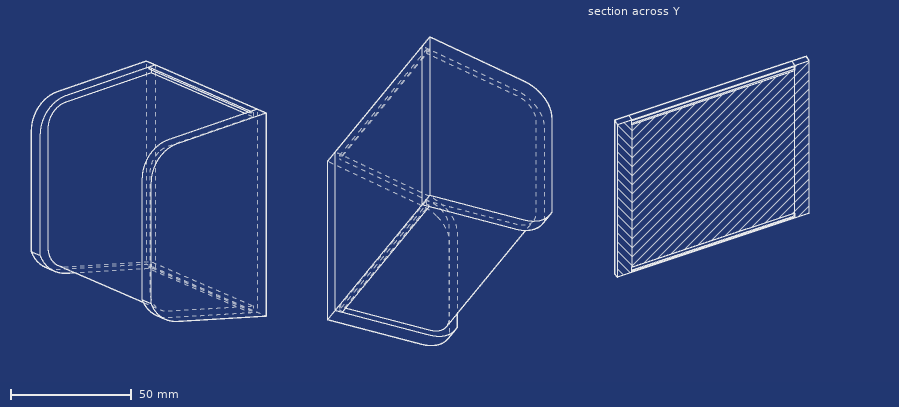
import cadquery as cq
import math

width = 88.0
depth = 57.6
half_height = 44.0
taper = math.radians(7.0)

plate_thickness = 6.6
upper_radius = 15.0
lower_arc_start = 44.5
lower_arc_end_z = -28.5

core_front_inset = 4.0
core_side_inset = 2.8
core_radius = 10.0
back_wall = 2.0
lip_length = 3.3
lip_thickness = 0.8

core_depth = depth - core_front_inset
core_length = width - 2 * plate_thickness


def slope_z(distance, inset=0.0):
    """Height of the sloped top at a given distance from the back."""
    return half_height - inset - distance * math.tan(taper)


def make_plate(left_x):
    """End plate with a tangent upper round and a lower round that meets the front at a corner."""
    upper_arc_start = depth - upper_radius * (1 - math.sin(taper))
    upper_start_z = slope_z(upper_arc_start)
    upper_end_z = upper_start_z - upper_radius * math.cos(taper)
    return (
        cq.Workplane("YZ", origin=(left_x, 0, 0))
        .moveTo(-depth, lower_arc_end_z)
        .lineTo(-depth, upper_end_z)
        .tangentArcPoint((-upper_arc_start, upper_start_z), relative=False)
        .lineTo(0, half_height)
        .lineTo(0, -half_height)
        .lineTo(-lower_arc_start, -slope_z(lower_arc_start))
        .tangentArcPoint((-depth, lower_arc_end_z), relative=False)
        .close()
        .extrude(plate_thickness)
    )


def make_core():
    """Rounded center body with a back wall whose thin lips overhang its top and bottom."""
    start_x = -core_length / 2
    hood = (
        cq.Workplane("YZ", origin=(start_x, 0, 0))
        .moveTo(0, slope_z(0, core_side_inset))
        .lineTo(-core_depth, slope_z(core_depth, core_side_inset))
        .lineTo(-core_depth, -slope_z(core_depth, core_side_inset))
        .lineTo(0, -slope_z(0, core_side_inset))
        .close()
        .extrude(core_length)
        .edges("|X and <Y")
        .fillet(core_radius)
    )

    lip_end_y = -lip_length + lip_thickness * math.sin(taper)
    lip_end_z = slope_z(lip_length) - lip_thickness * math.cos(taper)
    lip_root_z = slope_z(back_wall, lip_thickness / math.cos(taper))
    wall_with_lips = (
        cq.Workplane("YZ", origin=(start_x, 0, 0))
        .moveTo(0, half_height)
        .lineTo(-lip_length, slope_z(lip_length))
        .lineTo(lip_end_y, lip_end_z)
        .lineTo(-back_wall, lip_root_z)
        .lineTo(-back_wall, -lip_root_z)
        .lineTo(lip_end_y, -lip_end_z)
        .lineTo(-lip_length, -slope_z(lip_length))
        .lineTo(0, -half_height)
        .close()
        .extrude(core_length)
    )
    return hood.union(wall_with_lips)


core = make_core()
plates = [make_plate(left_x) for left_x in (-width / 2, width / 2 - plate_thickness)]

result = cq.Compound.makeCompound([core.val(), *[plate.val() for plate in plates]])